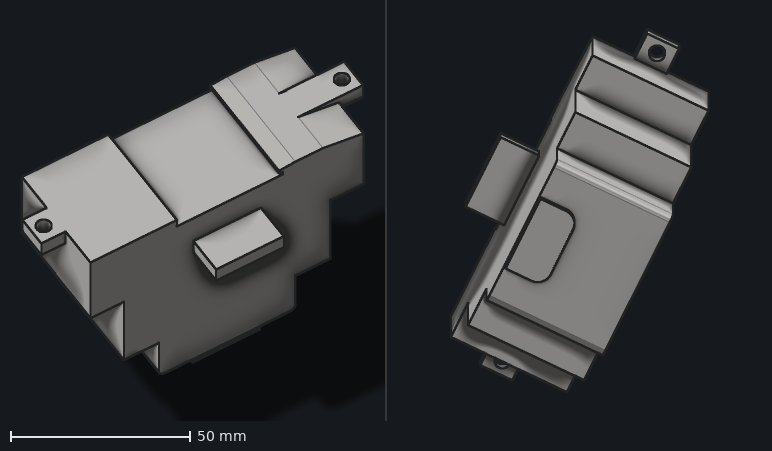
import cadquery as cq
import math


body_width = 36.0
tier_lengths = (90.0, 68.0, 44.9)
tier_bottoms = (-25.0, -51.2, -66.0)
bottom_edge_radius = 2.0

ramp_start = 31.6
ramp_angle = 10.0
lip_start = 22.5
lip_tip = 17.1
lip_angle = 5.5
lip_thickness = 1.1
undercut_root = 18.3
undercut_rise = 0.3
recess_end = -16.5
recess_depth = 2.9

total_length = 106.0
tab_width = 10.0
tab_thickness = 5.2
tab_hole_diameter = 4.5
tab_hole_inset = 3.9

side_block_reach = 12.0
side_block_length = 22.3
side_block_thickness = 5.0
side_block_top = -13.0

foot_width = 12.1
foot_length = 22.3
foot_height = 2.0
foot_edge_gap = 0.4
foot_corner_radius = 4.1


def drop(run, angle):
    """Height lost over a horizontal run at a slope angle in degrees."""
    return run * math.tan(math.radians(angle))


def make_body():
    top_half, middle_half, bottom_half = (length / 2 for length in tier_lengths)
    top_step, middle_step, body_bottom = tier_bottoms
    lip_top = -drop(lip_start - lip_tip, lip_angle)
    lip_underside = lip_top - lip_thickness
    outline = [
        (top_half, -drop(top_half - ramp_start, ramp_angle)),
        (ramp_start, 0),
        (lip_start, 0),
        (lip_tip, lip_top),
        (lip_tip, lip_underside),
        (undercut_root, lip_underside - undercut_rise),
        (undercut_root, -recess_depth),
        (recess_end, -recess_depth),
        (recess_end, 0),
        (-top_half, 0),
        (-top_half, top_step),
        (-middle_half, top_step),
        (-middle_half, middle_step),
        (-bottom_half, middle_step),
        (-bottom_half, body_bottom),
        (bottom_half, body_bottom),
        (bottom_half, middle_step),
        (middle_half, middle_step),
        (middle_half, top_step),
        (top_half, top_step),
    ]
    body = cq.Workplane("YZ").polyline(outline).close().extrude(body_width / 2, both=True)
    return body.faces("<Z").edges("|X").fillet(bottom_edge_radius)


def make_tab(direction):
    """Drilled tab reaching from the ramp start distance to one end (+1 or -1 along Y)."""
    tab_end = total_length / 2
    tab_length = tab_end - ramp_start
    tab = cq.Workplane("XY").box(tab_width, tab_length, tab_thickness)
    tab = tab.translate((0, direction * (tab_end - tab_length / 2), -tab_thickness / 2))
    hole = (
        cq.Workplane("XY")
        .center(0, direction * (tab_end - tab_hole_inset))
        .circle(tab_hole_diameter / 2)
        .extrude(-tab_thickness)
    )
    return tab.cut(hole)


def make_side_block():
    block = cq.Workplane("XY").box(
        side_block_reach, side_block_length, side_block_thickness, centered=(False, True, False)
    )
    return block.translate((body_width / 2, 0, side_block_top - side_block_thickness))


def make_foot():
    """Flat pad near the +X side with its two -X corners rounded."""
    foot = cq.Workplane("XY").box(foot_width, foot_length, foot_height)
    foot = foot.edges("|Z and <X").fillet(foot_corner_radius)
    foot_x = body_width / 2 - foot_edge_gap - foot_width / 2
    return foot.translate((foot_x, 0, tier_bottoms[-1] - foot_height / 2))


result = make_body()
for direction in (1, -1):
    result = result.union(make_tab(direction))
result = result.union(make_side_block()).union(make_foot())